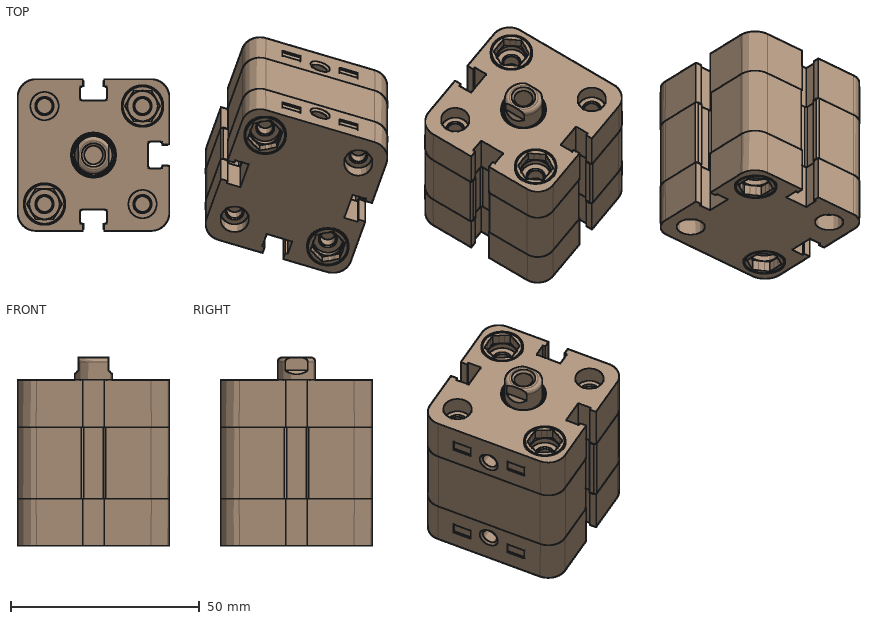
import cadquery as cq
import math


SIDE = 40.3
BODY_HEIGHT = 44
CAP_HEIGHT = 12.5
BARREL_HEIGHT = BODY_HEIGHT - 2 * CAP_HEIGHT
CORNER_RADIUS = 5
CAP_INNER_CORNER_RADIUS = 4.85

SLOT_ANGLES = (-90, 0, 90)
SLOT_DEPTH = 5.65
SLOT_WIDTH = 7.1
LIP_DEPTH = 1.9
CAP_MOUTH_WIDTH = 5.7
BARREL_MOUTH_WIDTH = 5.3
BARREL_MOUTH_CHAMFER = 0.55
BARREL_SLOT_CHAMFER = 0.5

SCREW_PITCH = 26
HEAD_DIAMETER = 11.1
HEAD_TOP_DIAMETER = 10.4
HEAD_GROOVE_DEPTH = 0.5
HEX_FLATS = 8.1
HEX_CORNERS = HEX_FLATS / math.cos(math.pi / 6)
HEX_DEPTH = 3
HEX_RELIEF_DIAMETER = 8.25
SOCKET_DIAMETER = 8
MOUNT_HOLE_DIAMETER = 7.5
SOCKET_DEPTH = 4.7
THREAD_DIAMETER = 4.15
THREAD_CHAMFER_DIAMETER = 4.9
THREAD_DEPTH = 4

PORT_DIAMETER = 4.15
PORT_CHAMFER_DIAMETER = 5.4
PORT_DEPTH = 6.5
PORT_DROP = 7.65
LABEL_WIDTH = 5.1
LABEL_HEIGHT = 3.05
LABEL_DEPTH = 0.5
LABEL_OFFSET = 8

ROD_DIAMETER = 10
ROD_STICKOUT = 6
ROD_FILLET = 1.2
ROD_FLATS = 8
ROD_FLAT_LENGTH = 3.5
ROD_HOLE_DIAMETER = 4.9
ROD_HOLE_CHAMFER_DIAMETER = 6.3
ROD_HOLE_DEPTH = 10
RECESS_MOUTH_DIAMETER = 12
RECESS_DIAMETER = 11.4
RECESS_DEPTH = 0.7
WIPER_DIAMETER = 10.9
WIPER_DEPTH = 1.1


def rounded_square(corner_radius):
    return cq.Sketch().rect(SIDE, SIDE).vertices().fillet(corner_radius)


def cap_block():
    """Square block whose corners get rounder from Z = 0 up to the outer face."""
    return (
        cq.Workplane("XY")
        .placeSketch(
            rounded_square(CAP_INNER_CORNER_RADIUS),
            rounded_square(CORNER_RADIUS).moved(cq.Location(cq.Vector(0, 0, CAP_HEIGHT))),
        )
        .loft(ruled=True)
    )


def barrel_block():
    return cq.Workplane("XY").placeSketch(rounded_square(CORNER_RADIUS)).extrude(BARREL_HEIGHT)


def tapered_hole(diameter, mouth_diameter, depth):
    """Cutter for a hole below Z = 0 with a 45 degree chamfer at its mouth."""
    chamfer = (mouth_diameter - diameter) / 2
    return (
        cq.Workplane("XZ")
        .moveTo(0, 0)
        .lineTo(mouth_diameter / 2, 0)
        .lineTo(diameter / 2, -chamfer)
        .lineTo(diameter / 2, -depth)
        .lineTo(0, -depth)
        .close()
        .revolve(360, (0, 0, 0), (0, 1, 0))
    )


def slot_pocket(height):
    """Wide inner part of a slot on the +X side."""
    pocket_depth = SLOT_DEPTH - LIP_DEPTH
    pocket = cq.Workplane("XY").box(pocket_depth, SLOT_WIDTH, height, centered=(False, True, False))
    return pocket.translate((SIDE / 2 - SLOT_DEPTH, 0, 0))


def slot_mouth(width, height, flare=0):
    """Opening between the lips of a slot on the +X side, widened by a 45 degree flare at the face."""
    face = SIDE / 2
    half = width / 2
    lips = cq.Workplane("XY").box(LIP_DEPTH, width, height, centered=(False, True, False))
    mouth = lips.translate((face - LIP_DEPTH, 0, 0))
    if flare > 0:
        corners = [(face - flare, -half), (face, -half - flare), (face, half + flare), (face - flare, half)]
        mouth = mouth.union(cq.Workplane("XY").polyline(corners).close().extrude(height))
    return mouth


def cut_slots(body, cutter):
    """Cut the same slot into the -Y, +X and +Y sides."""
    for angle in SLOT_ANGLES:
        body = body.cut(cutter.rotate((0, 0, 0), (0, 0, 1), angle))
    return body


def stepped_hole(diameter):
    """Cutter for a flat-bottomed hole with a chamfered thread in its floor, top at Z = 0."""
    thread = tapered_hole(THREAD_DIAMETER, THREAD_CHAMFER_DIAMETER, THREAD_DEPTH)
    bore = cq.Workplane("XY").circle(diameter / 2).extrude(-SOCKET_DEPTH)
    return bore.union(thread.translate((0, 0, -SOCKET_DEPTH)))


def screw_socket():
    """Cutter for a hexagon socket in a screw head, with the V groove around the head, top face at Z = 0."""
    rim = (
        cq.Workplane("XZ")
        .moveTo(HEAD_TOP_DIAMETER / 2, 0)
        .lineTo(HEAD_DIAMETER / 2, 0)
        .lineTo(HEAD_DIAMETER / 2, -HEAD_GROOVE_DEPTH)
        .close()
        .revolve(360, (0, 0, 0), (0, 1, 0))
    )
    hexagon = cq.Workplane("XY").polygon(6, HEX_CORNERS).extrude(-HEX_DEPTH)
    relief = cq.Workplane("XY").circle(HEX_RELIEF_DIAMETER / 2).extrude(-HEX_DEPTH)
    return rim.union(hexagon).union(relief).union(stepped_hole(SOCKET_DIAMETER))


def port():
    """Cutter for an air port in the -X face, centred on the middle of the face."""
    hole = tapered_hole(PORT_DIAMETER, PORT_CHAMFER_DIAMETER, PORT_DEPTH)
    return hole.rotate((0, 0, 0), (0, 1, 0), -90).translate((-SIDE / 2, 0, 0))


def make_cap():
    """End cap with its outer face up at Z = CAP_HEIGHT."""
    slot = slot_pocket(CAP_HEIGHT).union(slot_mouth(CAP_MOUTH_WIDTH, CAP_HEIGHT))
    cap = cut_slots(cap_block(), slot)
    reach = SCREW_PITCH / 2
    for side in (-1, 1):
        cap = cap.cut(screw_socket().translate((side * reach, side * reach, CAP_HEIGHT)))
        cap = cap.cut(stepped_hole(MOUNT_HOLE_DIAMETER).translate((side * reach, -side * reach, CAP_HEIGHT)))
        label = cq.Workplane("XY").box(LABEL_DEPTH, LABEL_WIDTH, LABEL_HEIGHT, centered=(False, True, True))
        cap = cap.cut(label.translate((-SIDE / 2, side * LABEL_OFFSET, CAP_HEIGHT / 2)))
    return cap.cut(port().translate((0, 0, CAP_HEIGHT - PORT_DROP)))


def make_top_cap():
    """Upper cap, with the rod hole and the recess around the rod."""
    recess = tapered_hole(RECESS_DIAMETER, RECESS_MOUTH_DIAMETER, RECESS_DEPTH)
    wiper_seat = cq.Workplane("XY").circle(WIPER_DIAMETER / 2).extrude(-WIPER_DEPTH)
    recess = recess.union(wiper_seat).translate((0, 0, CAP_HEIGHT))
    rod_hole = cq.Workplane("XY").circle(ROD_DIAMETER / 2).extrude(CAP_HEIGHT)
    return make_cap().cut(rod_hole).cut(recess).translate((0, 0, BODY_HEIGHT - CAP_HEIGHT))


def make_bottom_cap():
    """Lower cap without a rod hole, turned half a turn about X so its outer face is down."""
    return make_cap().rotate((0, 0, 0), (1, 0, 0), 180).translate((0, 0, CAP_HEIGHT))


def make_barrel():
    """Profile barrel between the caps, with chamfered slot edges."""
    pocket = slot_pocket(BARREL_HEIGHT).edges("|Z").chamfer(BARREL_SLOT_CHAMFER)
    mouth = slot_mouth(BARREL_MOUTH_WIDTH, BARREL_HEIGHT, BARREL_MOUTH_CHAMFER)
    barrel = cut_slots(barrel_block(), pocket.union(mouth))
    return barrel.translate((0, 0, CAP_HEIGHT))


def make_rod():
    """Piston rod through the upper cap, with two wrench flats and a threaded hole."""
    top = BODY_HEIGHT + ROD_STICKOUT
    length = ROD_STICKOUT + CAP_HEIGHT
    rod = (
        cq.Workplane("XY", origin=(0, 0, top - length))
        .circle(ROD_DIAMETER / 2)
        .extrude(length)
        .faces(">Z")
        .edges()
        .fillet(ROD_FILLET)
    )
    bevel = (ROD_DIAMETER - ROD_FLATS) / 2
    flat = (
        cq.Workplane("XZ")
        .moveTo(ROD_FLATS / 2, top)
        .lineTo(ROD_FLATS / 2, top - ROD_FLAT_LENGTH)
        .lineTo(ROD_FLATS / 2 + bevel, top - ROD_FLAT_LENGTH - bevel)
        .lineTo(ROD_FLATS / 2 + bevel, top)
        .close()
        .extrude(ROD_DIAMETER / 2, both=True)
    )
    hole = tapered_hole(ROD_HOLE_DIAMETER, ROD_HOLE_CHAMFER_DIAMETER, ROD_HOLE_DEPTH)
    return rod.cut(flat).cut(flat.mirror("YZ")).cut(hole.translate((0, 0, top)))


top_cap = make_top_cap()
bottom_cap = make_bottom_cap()
barrel = make_barrel()
rod = make_rod()

result = cq.Compound.makeCompound([top_cap.val(), bottom_cap.val(), barrel.val(), rod.val()])